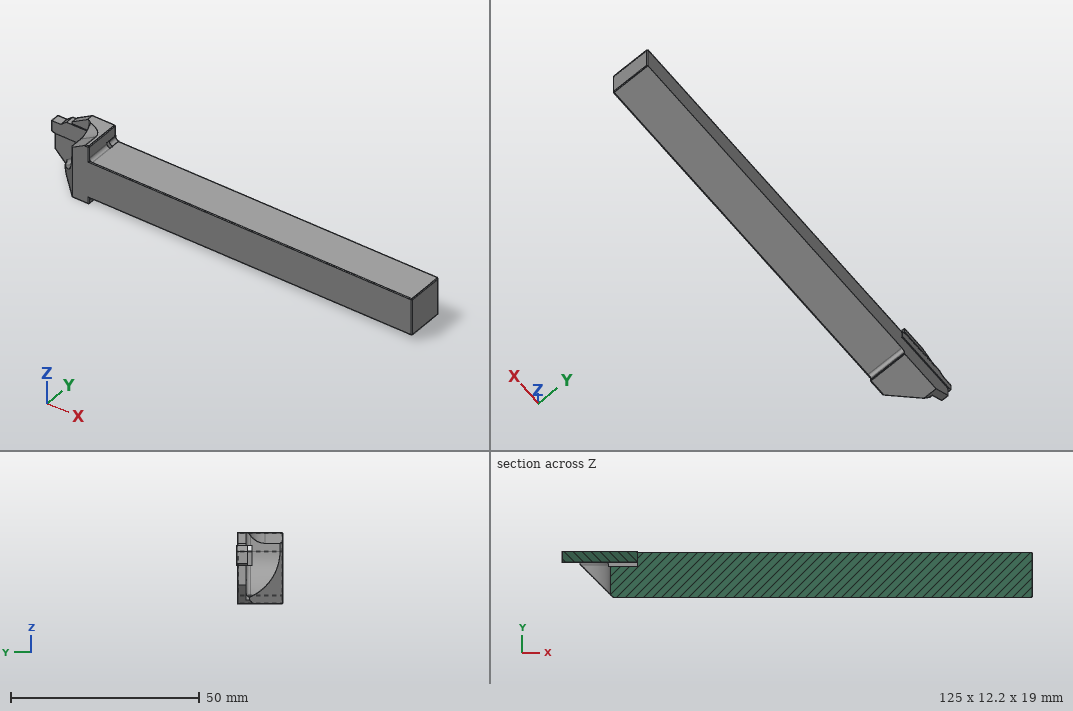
import cadquery as cq
import math


tool_length = 125.0
shank_size = 12.0
shank_bottom = 2.1
shank_top = shank_bottom + shank_size
edge_chamfer = 0.2

head_height = 19.0
head_rear = 19.0
neck_fillet = 1.0
neck_arc_offset = neck_fillet * (1 - math.sqrt(0.5))
blade_front = 0.9
nose_bevel = 5.0
clamp_front = 6.5
clamp_front_height = 16.1
clamp_slope = math.radians(30)
bevel_start = 13.6
bevel_end = 4.8
blade_face = 9.8

pocket_radius = 13.2
pocket_wall = 12.9
pocket_center_height = 14.0
pocket_fillet = 1.1

channel_radius = 5.0
channel_flat_width = 4.8
channel_start_height = 16.1

insert_face = 9.4
insert_back = 12.2
insert_bottom = 10.2
insert_top = 15.5
insert_end = head_rear + neck_fillet
tip_height = 14.0
tip_land = 3.0
tip_ramp = 4.9
tip_relief_height = 10.8
groove_face = 8.2

clearance = 1.2


def extrude_along_y(outline, start, end):
    """Extrude a closed XZ outline between two Y positions."""
    return outline.extrude(-(end - start)).translate((0, start, 0))


def make_shank():
    shank_start = head_rear - edge_chamfer
    shank = cq.Workplane("XY").box(
        tool_length - shank_start, shank_size, shank_size, centered=False
    ).translate((shank_start, 0, shank_bottom))
    return shank.faces("<Y").edges("|X").chamfer(edge_chamfer).faces(">X").edges().chamfer(edge_chamfer)


def make_head():
    clamp_run = (head_height - clamp_front_height) / math.tan(clamp_slope)
    outline = (
        cq.Workplane("XZ")
        .moveTo(blade_front + nose_bevel, 0)
        .lineTo(head_rear, 0)
        .lineTo(head_rear, head_height)
        .lineTo(clamp_front + clamp_run, head_height)
        .lineTo(clamp_front, clamp_front_height)
        .lineTo(clamp_front, insert_bottom)
        .lineTo(blade_front, insert_bottom)
        .lineTo(blade_front, nose_bevel)
        .close()
    )
    head = extrude_along_y(outline, 0, shank_size)
    head = head.faces(">X").edges("|Y").chamfer(edge_chamfer)
    return head.faces("<Y").edges().chamfer(edge_chamfer)


def make_neck_fillet(shank_face, outward):
    """Concave fillet between the head's rear face and one shank face; outward is +1 or -1 along Z."""
    outline = (
        cq.Workplane("XZ")
        .moveTo(head_rear, shank_face + outward * neck_fillet)
        .threePointArc(
            (head_rear + neck_arc_offset, shank_face + outward * neck_arc_offset),
            (head_rear + neck_fillet, shank_face),
        )
        .lineTo(head_rear, shank_face)
        .close()
    )
    return extrude_along_y(outline, edge_chamfer, shank_size)


def make_front_bevel():
    """45 degree relief from the front face, ending in a narrow square step at the blade."""
    return (
        cq.Workplane("XY")
        .moveTo(bevel_start + clearance, -clearance)
        .lineTo(bevel_end, bevel_start - bevel_end)
        .lineTo(bevel_end, blade_face)
        .lineTo(-clearance, blade_face)
        .lineTo(-clearance, -clearance)
        .close()
        .extrude(head_height)
    )


def make_chip_pocket():
    center_x = pocket_wall - pocket_radius
    diagonal = pocket_radius * math.sqrt(0.5)
    outline = (
        cq.Workplane("XZ")
        .moveTo(center_x, pocket_center_height - pocket_radius)
        .threePointArc(
            (center_x + diagonal, pocket_center_height - diagonal),
            (pocket_wall, pocket_center_height),
        )
        .lineTo(pocket_wall, head_height + clearance)
        .lineTo(center_x, head_height + clearance)
        .close()
    )
    pocket = extrude_along_y(outline, -clearance, blade_face)
    rounded_edges = pocket.faces(">Y").edges("%CIRCLE or >X")
    return rounded_edges.fillet(pocket_fillet)


def make_chip_channel():
    """Flat floor with a rounded inner wall, cut along the clamp slope."""
    slope_direction = (math.cos(clamp_slope), 0, math.sin(clamp_slope))
    section = cq.Plane(origin=(pocket_wall, 0, channel_start_height), xDir=(0, 1, 0), normal=slope_direction)
    diagonal = channel_radius * math.sqrt(0.5)
    return (
        cq.Workplane(section)
        .moveTo(-clearance, 0)
        .lineTo(channel_flat_width, 0)
        .threePointArc(
            (channel_flat_width + diagonal, channel_radius - diagonal),
            (channel_flat_width + channel_radius, channel_radius),
        )
        .lineTo(-clearance, channel_radius)
        .close()
        .extrude(head_rear / 2, both=True)
    )


def make_insert_groove():
    return cq.Workplane("XY").box(
        insert_end + clearance, insert_back - groove_face, insert_top - insert_bottom, centered=False
    ).translate((-clearance, groove_face, insert_bottom))


def make_holder():
    holder = make_head().union(make_shank())
    holder = holder.union(make_neck_fillet(shank_top, 1))
    holder = holder.union(make_neck_fillet(shank_bottom, -1))
    holder = holder.cut(make_front_bevel())
    holder = holder.cut(make_chip_pocket())
    holder = holder.cut(make_chip_channel())
    return holder.cut(make_insert_groove())


def make_insert():
    """Insert bar whose rear end follows the neck fillet."""
    outline = (
        cq.Workplane("XZ")
        .moveTo(0, tip_height)
        .lineTo(tip_land, tip_height)
        .lineTo(tip_ramp, insert_top)
        .lineTo(head_rear, insert_top)
        .lineTo(head_rear, shank_top + neck_fillet)
        .threePointArc(
            (head_rear + neck_arc_offset, shank_top + neck_arc_offset),
            (insert_end, shank_top),
        )
        .lineTo(insert_end, insert_bottom)
        .lineTo(blade_front, insert_bottom)
        .lineTo(0, tip_relief_height)
        .close()
    )
    return extrude_along_y(outline, insert_face, insert_back)


holder = make_holder()
insert = make_insert()
result = cq.Compound.makeCompound([holder.val(), insert.val()])